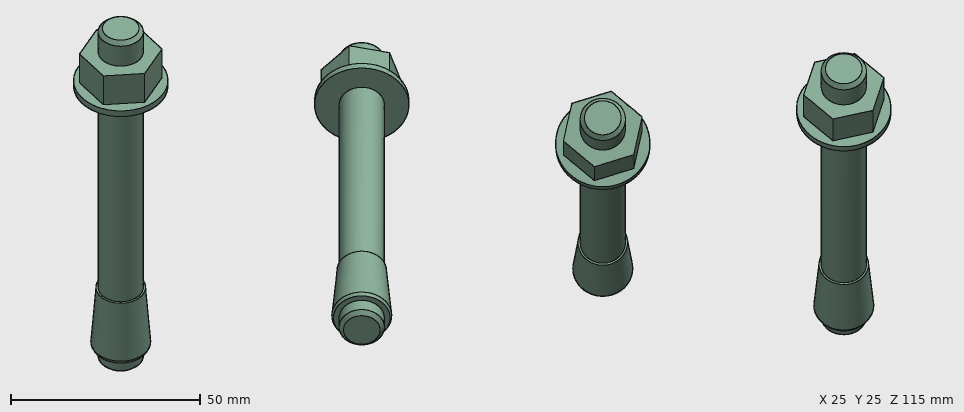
import cadquery as cq
import math

total_length = 115.0
rod_diameter = 12.0
end_chamfer = 1.2

sleeve_bottom = 5.1
sleeve_top = 25.1
sleeve_top_diameter = 13.1
sleeve_bottom_diameter = 15.9
sleeve_rim_height = 1.0
sleeve_rim_chamfer = 0.5

washer_diameter = 25.0
washer_thickness = 2.0
washer_bottom = 95.0

nut_across_flats = 19.0
nut_height = 10.0


def make_rod():
    """Full-length round rod with both ends chamfered."""
    rod = cq.Workplane("XY").circle(rod_diameter / 2).extrude(total_length)
    return rod.faces("<Z or >Z").chamfer(end_chamfer)


def make_sleeve():
    """Tapered expansion sleeve, widest just above its short bevelled rim."""
    top_radius = sleeve_top_diameter / 2
    wide_radius = sleeve_bottom_diameter / 2
    profile = (
        cq.Workplane("XZ")
        .moveTo(0, sleeve_bottom)
        .lineTo(wide_radius - sleeve_rim_chamfer, sleeve_bottom)
        .lineTo(wide_radius, sleeve_bottom + sleeve_rim_height)
        .lineTo(top_radius, sleeve_top)
        .lineTo(0, sleeve_top)
        .close()
    )
    return profile.revolve(360, (0, 0, 0), (0, 1, 0))


def make_washer():
    """Flat round washer under the nut."""
    return (
        cq.Workplane("XY", origin=(0, 0, washer_bottom))
        .circle(washer_diameter / 2)
        .extrude(washer_thickness)
    )


def make_nut():
    """Plain hexagonal nut with two corners on the X axis."""
    across_corners = nut_across_flats / math.cos(math.radians(30))
    nut_bottom = washer_bottom + washer_thickness
    return (
        cq.Workplane("XY", origin=(0, 0, nut_bottom))
        .polygon(6, across_corners)
        .extrude(nut_height)
    )


result = make_rod().union(make_sleeve()).union(make_washer()).union(make_nut())